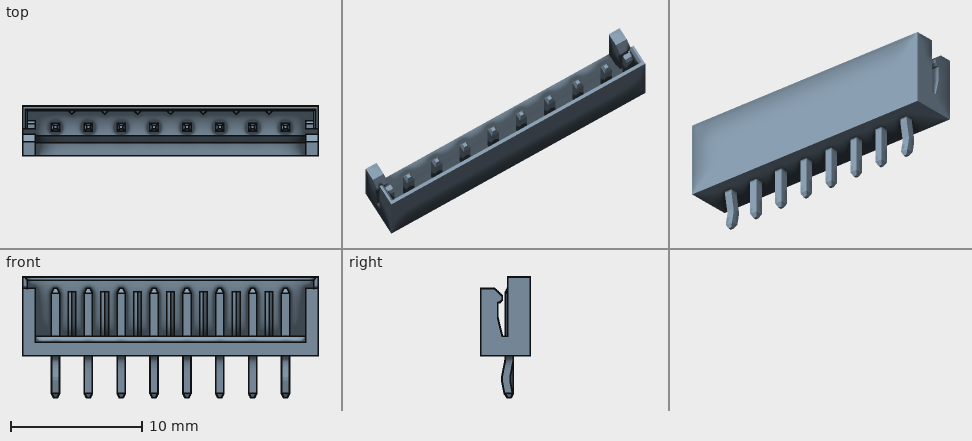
import cadquery as cq


LENGTH = 22.5
DEPTH = 3.8
HOUSING_HEIGHT = 6.0

FLOOR_Z = 1.5
SILL_Z = 1.04
SILL_DEPTH = 1.0
SILL_SLOPE_DEPTH = 0.55
BACK_WALL = 0.35
END_WALL = 0.35
END_WALL_DEPTH = 1.73
RIM_DROP = 0.27
RIM_BACK_INSET = 0.11
RIM_END_INSET = 0.18

POST_WIDTH = 0.97
POST_HEIGHT = 5.13
POST_TOP_DEPTH = 1.05
POST_NECK_DEPTH = 1.33
POST_ROOT_DEPTH = 1.66
NECK_BOTTOM_Z = 2.88
NECK_TOP_Z = 4.05
HOOK_DEPTH = 1.66
HOOK_UNDERSIDE_DEPTH = 1.46
HOOK_BOTTOM_Z = 4.28
HOOK_TOP_Z = 4.57

GUIDE_DEPTH = 0.58
GUIDE_CHAMFER = 0.2

RIB_TOP_Z = 4.88
RIB_WIDTH = 0.58
RIB_PROJECTION = 0.27

PIN_COUNT = 8
PITCH = LENGTH / (PIN_COUNT + 1)
PIN_SIZE = 0.63
PIN_Y = 2.18
PIN_TOP_Z = 5.13
PIN_BOTTOM_Z = -3.2
TIP_LENGTH = 0.35
TIP_SIZE = 0.27

KINK_START_Z = -0.34
KINK_UPPER_Z = -1.62
KINK_LOWER_Z = -1.9
KINK_OFFSET = 0.25
TAIL_END_OFFSET = 0.07

HALF_LENGTH = LENGTH / 2
END_WALL_FRONT_Y = DEPTH - END_WALL_DEPTH
BACK_WALL_Y = DEPTH - BACK_WALL


def box(x_range, y_range, z_range):
    """Box spanning the given (low, high) ranges."""
    sizes = [high - low for low, high in (x_range, y_range, z_range)]
    corner = (x_range[0], y_range[0], z_range[0])
    return cq.Workplane("XY").box(*sizes, centered=False).translate(corner)


def extrude_along_x(yz_points, x_start, width):
    """Extrude a closed (y, z) outline from x_start towards +X."""
    return cq.Workplane("YZ", origin=(x_start, 0, 0)).polyline(yz_points).close().extrude(width)


def make_base():
    outline = [
        (0, 0),
        (DEPTH, 0),
        (DEPTH, FLOOR_Z),
        (SILL_DEPTH + SILL_SLOPE_DEPTH, FLOOR_Z),
        (SILL_DEPTH, SILL_Z),
        (0, SILL_Z),
    ]
    return extrude_along_x(outline, -HALF_LENGTH, LENGTH)


def make_walls():
    """Back wall and end walls, with the inner top edge bevelled."""
    walls = box((-HALF_LENGTH, HALF_LENGTH), (END_WALL_FRONT_Y, DEPTH), (0, HOUSING_HEIGHT))
    inner_half = HALF_LENGTH - END_WALL
    cavity = box(
        (-inner_half, inner_half), (END_WALL_FRONT_Y, BACK_WALL_Y), (FLOOR_Z, HOUSING_HEIGHT)
    )
    bevel_z = HOUSING_HEIGHT - RIM_DROP
    rim_half = inner_half + RIM_END_INSET
    bevel_front = (
        cq.Workplane("XZ", origin=(0, DEPTH, 0))
        .polyline([
            (-inner_half, bevel_z),
            (inner_half, bevel_z),
            (rim_half, HOUSING_HEIGHT),
            (-rim_half, HOUSING_HEIGHT),
        ])
        .close()
        .extrude(END_WALL_DEPTH)
    )
    bevel_side = extrude_along_x(
        [
            (END_WALL_FRONT_Y, bevel_z),
            (BACK_WALL_Y, bevel_z),
            (BACK_WALL_Y + RIM_BACK_INSET, HOUSING_HEIGHT),
            (END_WALL_FRONT_Y, HOUSING_HEIGHT),
        ],
        -HALF_LENGTH,
        LENGTH,
    )
    return walls.cut(cavity).cut(bevel_front.intersect(bevel_side))


def make_post(x_start):
    """Front corner post with a latch hook facing the end wall."""
    outline = [
        (0, 0),
        (POST_ROOT_DEPTH, 0),
        (POST_ROOT_DEPTH, FLOOR_Z),
        (POST_NECK_DEPTH, NECK_BOTTOM_Z),
        (POST_NECK_DEPTH, NECK_TOP_Z),
        (HOOK_UNDERSIDE_DEPTH, NECK_TOP_Z),
        (HOOK_DEPTH, HOOK_BOTTOM_Z),
        (HOOK_DEPTH, HOOK_TOP_Z),
        (POST_TOP_DEPTH, POST_HEIGHT),
        (0, POST_HEIGHT),
    ]
    return extrude_along_x(outline, x_start, POST_WIDTH)


def make_guide(x_start):
    """Block thickening the front edge of an end wall, chamfered at its top rear edge."""
    rear_y = END_WALL_FRONT_Y + GUIDE_DEPTH
    outline = [
        (END_WALL_FRONT_Y, 0),
        (rear_y, 0),
        (rear_y, POST_HEIGHT - GUIDE_CHAMFER),
        (rear_y - GUIDE_CHAMFER, POST_HEIGHT),
        (END_WALL_FRONT_Y, POST_HEIGHT),
    ]
    return extrude_along_x(outline, x_start, POST_WIDTH)


def make_rib(x):
    """Triangular rib standing on the floor against the back wall."""
    return (
        cq.Workplane("XY")
        .polyline([
            (x - RIB_WIDTH / 2, BACK_WALL_Y),
            (x, BACK_WALL_Y - RIB_PROJECTION),
            (x + RIB_WIDTH / 2, BACK_WALL_Y),
        ])
        .close()
        .extrude(RIB_TOP_Z)
    )


def pin_outline(centre, tail_bends, tail_end_offset):
    """Closed pin outline with tapered tips; tail_bends are (offset, z) from the top down."""
    half = PIN_SIZE / 2
    half_tip = TIP_SIZE / 2
    top_shoulder = PIN_TOP_Z - TIP_LENGTH
    bottom_shoulder = PIN_BOTTOM_Z + TIP_LENGTH
    bends = tail_bends + [(tail_end_offset, bottom_shoulder)]
    top = [
        (centre + half, top_shoulder),
        (centre + half_tip, PIN_TOP_Z),
        (centre - half_tip, PIN_TOP_Z),
        (centre - half, top_shoulder),
    ]
    left = [(centre + offset - half, z) for offset, z in bends]
    bottom = [(centre - half_tip, PIN_BOTTOM_Z), (centre + half_tip, PIN_BOTTOM_Z)]
    right = [(centre + offset + half, z) for offset, z in reversed(bends)]
    return top + left + bottom + right


def make_pin(x, kinked):
    """Square pin: its front outline swept along Y, kept only inside its side outline."""
    front = (
        cq.Workplane("XZ", origin=(0, DEPTH, 0))
        .polyline(pin_outline(x, [], 0))
        .close()
        .extrude(DEPTH)
    )
    if kinked:
        bends = [(0, KINK_START_Z), (-KINK_OFFSET, KINK_UPPER_Z), (-KINK_OFFSET, KINK_LOWER_Z)]
        side_outline = pin_outline(PIN_Y, bends, -TAIL_END_OFFSET)
    else:
        side_outline = pin_outline(PIN_Y, [], 0)
    return front.intersect(extrude_along_x(side_outline, x - PIN_SIZE / 2, PIN_SIZE))


result = make_base().union(make_walls())

for corner_x in (-HALF_LENGTH, HALF_LENGTH - POST_WIDTH):
    result = result.union(make_post(corner_x)).union(make_guide(corner_x))

pin_positions = [(i - (PIN_COUNT - 1) / 2) * PITCH for i in range(PIN_COUNT)]

for pin_x in pin_positions[:-1]:
    result = result.union(make_rib(pin_x + PITCH / 2))

for pin_x in pin_positions:
    is_end_pin = pin_x in (pin_positions[0], pin_positions[-1])
    result = result.union(make_pin(pin_x, is_end_pin))